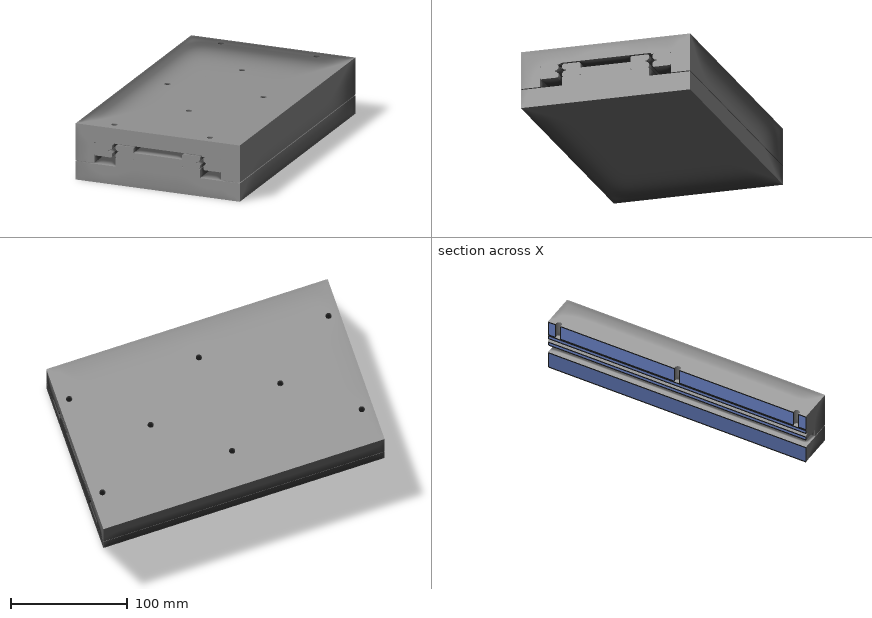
import cadquery as cq

width = 152.5
length = 254.0
height = 50.8
center_x = width / 2

rail_width = 16.5
rail_height = 12.0
rail_bottom = 24.1
rail_top = rail_bottom + rail_height
rail_gap = 3.3
rail_chamfer = 1.0

groove_depth = 1.8
groove_half_opening = 2.3
slot_depth = 3.3
slot_height = 1.0

leg_thickness = 17.3
leg_bottom = 17.3
rail_clearance = 1.0
channel_top = rail_top + rail_clearance

outer_rail_face = leg_thickness + rail_width
inner_rail_face = outer_rail_face + rail_gap
inner_rail_back = inner_rail_face + rail_width
strip_edge = outer_rail_face + rail_gap / 2

flange_top = 16.5
block_top = 31.0

hole_diameter = 5.3
hole_pitch_x = 89.0
hole_pitch_y = 117.0


def extrude_along_y(section):
    """Extrude an XZ section from Y = 0 to Y = length."""
    return section.extrude(-length)


def make_rail(face_x, back_side):
    """Rail with its running face at face_x; its body lies toward back_side (-1 or +1 along X)."""

    def x_at(depth):
        return face_x + back_side * depth

    groove_z = rail_bottom + rail_height / 2
    bar = extrude_along_y(
        cq.Workplane("XZ").center(x_at(rail_width / 2), groove_z).rect(rail_width, rail_height)
    )
    bar = bar.edges("|Y").chamfer(rail_chamfer)

    groove = extrude_along_y(
        cq.Workplane("XZ").polyline(
            [
                (x_at(0), groove_z + groove_half_opening),
                (x_at(groove_depth), groove_z + slot_height / 2),
                (x_at(slot_depth), groove_z + slot_height / 2),
                (x_at(slot_depth), groove_z - slot_height / 2),
                (x_at(groove_depth), groove_z - slot_height / 2),
                (x_at(0), groove_z - groove_half_opening),
            ]
        ).close()
    )
    return bar.cut(groove)


def make_carriage():
    """Channel whose outer ceiling strips rest on the outer rails, with the mounting holes."""
    left_half = [
        (0, leg_bottom),
        (leg_thickness, leg_bottom),
        (leg_thickness, rail_top),
        (strip_edge, rail_top),
        (strip_edge, channel_top),
    ]
    right_half = [(width - x, z) for x, z in reversed(left_half)]
    section = cq.Workplane("XZ").polyline(
        left_half + right_half + [(width, height), (0, height)]
    ).close()
    body = extrude_along_y(section)

    side_holes = [
        (side * hole_pitch_x / 2, row * hole_pitch_y) for side in (-1, 1) for row in (-1, 0, 1)
    ]
    middle_holes = [(0, side * hole_pitch_y / 2) for side in (-1, 1)]
    drills = (
        cq.Workplane("XY")
        .center(center_x, length / 2)
        .pushPoints(side_holes + middle_holes)
        .circle(hole_diameter / 2)
        .extrude(height)
    )
    return body.cut(drills)


def make_base():
    """Flanged plate with a pedestal stepped down on both sides to seat the inner rails."""
    left_half = [
        (0, 0),
        (0, flange_top),
        (inner_rail_face, flange_top),
        (inner_rail_face, rail_bottom),
        (inner_rail_back, rail_bottom),
        (inner_rail_back, block_top),
    ]
    right_half = [(width - x, z) for x, z in reversed(left_half)]
    return extrude_along_y(cq.Workplane("XZ").polyline(left_half + right_half).close())


carriage = make_carriage()
base = make_base()

outer_rails = []
inner_rails = []
for side in (-1, 1):
    outer_x = center_x + side * (center_x - outer_rail_face)
    inner_x = center_x + side * (center_x - inner_rail_face)
    outer_rails.append(make_rail(outer_x, side).val())
    inner_rails.append(make_rail(inner_x, -side).val())

result = cq.Compound.makeCompound([carriage.val(), base.val(), *outer_rails, *inner_rails])